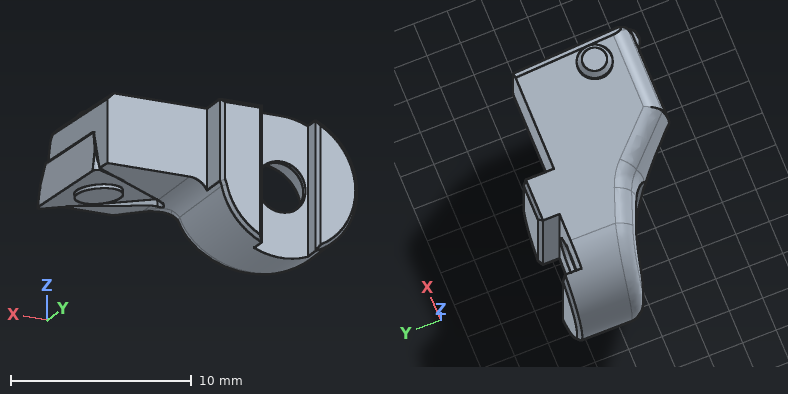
import cadquery as cq
import math

hub_radius = 4.2
hub_bore_radius = 1.5
hub_bore_chamfer = 0.3
counterbore_radius = 2.75
counterbore_floor_y = -1.8

tooth_depth = 1.2
tooth_chamfer = 0.22
notch_width = 3.28

arm_top_z = hub_radius
arm_bottom_z = 0.0
arm_back_y = -1.9
arm_front_y = -9.26
neck_radius = 1.2
rim_fillet = 1.0

hollow_radius = 12.0
end_hollow_radius = 13.5
hub_front_y = -5.42
hub_front_slope = math.radians(20)
flare_slope = math.radians(45)
flare_intercept_y = -4.01
bend_radius = 3.0

end_angle = 3.0
end_x = 10.30
end_chamfer = 0.4
end_corner_radius = 0.3

insert_x = 8.76
insert_y = -6.31
insert_z = 0.02
insert_lean = 5.0
insert_inscribed_radius = 2.095
insert_nose_radius = 0.25
insert_thickness = 2.46
insert_clearance = 11.0
pocket_overcut = 0.6
relief_start = 0.87
relief_reach = 0.8

pin_radius = 1.0
pin_top_length = 4.57
pin_chamfer = 0.3
pin_head_radius = 1.35
pin_head_height = 0.23

blank_end_x = 14.0
blank_depth = 22.0
margin = 10.0
beyond_hub = 1.5 * hub_radius
slab_width = 6 * margin
flat_tolerance = 0.01


def profile_blank():
    """Hub disc and arm in side profile, joined underneath by a round neck."""
    neck_x = math.sqrt((hub_radius + neck_radius) ** 2 - neck_radius ** 2)
    neck_angle = math.atan2(neck_radius, neck_x)
    touch = (hub_radius * math.cos(neck_angle), -hub_radius * math.sin(neck_angle))
    bisector = math.pi / 4 + neck_angle / 2
    neck_mid = (
        neck_x - neck_radius * math.cos(bisector),
        -neck_radius + neck_radius * math.sin(bisector),
    )
    hub_mid_angle = (math.pi / 2 + 2 * math.pi - neck_angle) / 2
    hub_mid = (hub_radius * math.cos(hub_mid_angle), hub_radius * math.sin(hub_mid_angle))
    return (
        cq.Workplane("XZ")
        .moveTo(0, arm_top_z)
        .lineTo(blank_end_x, arm_top_z)
        .lineTo(blank_end_x, arm_bottom_z)
        .lineTo(neck_x, arm_bottom_z)
        .threePointArc(neck_mid, touch)
        .threePointArc(hub_mid, (0, arm_top_z))
        .close()
        .extrude(blank_depth)
    )


def hollow_section(x, y, depth, radius):
    """Closed YZ section at (x, y) whose one side is the hollow arc, reaching to y + depth."""
    sag = radius - math.sqrt(radius ** 2 - beyond_hub ** 2)
    return (
        cq.Workplane("YZ", origin=(x, y, 0))
        .moveTo(sag, -beyond_hub)
        .threePointArc((0, 0), (sag, beyond_hub))
        .lineTo(depth, beyond_hub)
        .lineTo(depth, -beyond_hub)
        .close()
    )


def front_cutter():
    """Space in front of the hub and the flared neck of the arm."""
    bend_x = (flare_intercept_y - hub_front_y) / (math.tan(flare_slope) - math.tan(hub_front_slope))
    bend_y = flare_intercept_y - bend_x * math.tan(flare_slope)
    turn = flare_slope - hub_front_slope
    tangent = bend_radius * math.tan(turn / 2)
    arc_start = (
        bend_x - tangent * math.cos(hub_front_slope),
        bend_y + tangent * math.sin(hub_front_slope),
    )
    arc_end = (
        bend_x + tangent * math.cos(flare_slope),
        bend_y - tangent * math.sin(flare_slope),
    )
    mid_slope = (hub_front_slope + flare_slope) / 2
    mid_offset = bend_radius / math.cos(turn / 2) - bend_radius
    arc_mid = (bend_x - mid_offset * math.sin(mid_slope), bend_y - mid_offset * math.cos(mid_slope))
    start_x = -beyond_hub
    start = (start_x, hub_front_y - start_x * math.tan(hub_front_slope))
    stop_x = blank_end_x + margin
    stop = (stop_x, flare_intercept_y - stop_x * math.tan(flare_slope))
    path = (
        cq.Workplane("XY")
        .moveTo(*start)
        .lineTo(*arc_start)
        .threePointArc(arc_mid, arc_end)
        .lineTo(*stop)
    )
    section = hollow_section(*start, -2 * blank_depth, hollow_radius)
    return section.sweep(path, normal=cq.Vector(1, 0, 0))


def is_rim(edge):
    """True for the edges round the front surface, false for its joints and the back edges."""
    box = edge.BoundingBox()
    return box.xlen > flat_tolerance and box.ymax < -flat_tolerance


def flared_body():
    """Hub and flared arm with the whole front rim rounded."""
    body = profile_blank().cut(front_cutter())
    rim = [edge for edge in body.edges().vals() if is_rim(edge)]
    return body.newObject(rim).fillet(rim_fillet)


def end_envelope():
    """Block bounding the arm: hollow front, skewed free end and broken top edges."""
    section = hollow_section(-margin, arm_front_y, margin, end_hollow_radius)
    block = section.extrude(2 * margin + end_x)
    above = cq.Workplane("XY", origin=(0, 0, arm_top_z)).rect(slab_width, slab_width).extrude(margin)
    block = block.cut(above)
    block = block.faces(">Z").edges("<Y").fillet(rim_fillet)
    end_face = (
        cq.Workplane("YZ")
        .rect(slab_width, slab_width)
        .extrude(margin)
        .rotate((0, 0, 0), (0, 0, 1), end_angle)
        .translate((end_x, arm_back_y, 0))
    )
    block = block.cut(end_face)
    front_corner = cq.selectors.NearestToPointSelector((end_x, arm_front_y, arm_bottom_z))
    block = block.edges(front_corner).fillet(end_corner_radius)
    bevel = (
        cq.Workplane("XZ")
        .moveTo(0, arm_top_z - end_chamfer)
        .lineTo(-end_chamfer, arm_top_z)
        .lineTo(0, arm_top_z)
        .close()
        .extrude(2 * margin, both=True)
        .rotate((0, 0, 0), (0, 0, 1), end_angle)
        .translate((end_x, arm_back_y, 0))
    )
    return block.cut(bevel)


def notch():
    """Slot across the back of the hub that leaves a tooth on either side."""
    return cq.Workplane("XY").box(notch_width, 2 * tooth_depth, 2 * beyond_hub)


def arm_back_cut():
    """Space behind the arm, beside the hub."""
    cutter = cq.Workplane("XY").box(2 * margin, -2 * arm_back_y, 2 * beyond_hub)
    return cutter.translate((hub_radius + margin, 0, 0))


def hub_hole():
    """Through bore, with a chamfer at the floor of the counterbore."""
    bore = cq.Workplane("XZ").circle(hub_bore_radius).extrude(blank_depth)
    floor = cq.Workplane("XZ", origin=(0, counterbore_floor_y, 0))
    counterbore = floor.circle(counterbore_radius).extrude(blank_depth)
    chamfer = cq.Workplane("XY").add(
        cq.Solid.makeCone(
            hub_bore_radius + hub_bore_chamfer,
            hub_bore_radius,
            hub_bore_chamfer,
            pnt=cq.Vector(0, counterbore_floor_y, 0),
            dir=cq.Vector(0, 1, 0),
        )
    )
    return bore.union(counterbore).union(chamfer)


def lean(shape):
    """Move a shape built round the origin to the insert axis."""
    return shape.rotate((0, 0, 0), (0, 1, 0), insert_lean).translate((insert_x, insert_y, insert_z))


def tapered_triangle(bottom, top):
    """Rounded triangle between two heights; the stated size is at height 0, narrower above."""
    spread = math.tan(math.radians(insert_clearance))
    corner_distance = 2 * (insert_inscribed_radius - insert_nose_radius)
    angles = [math.radians(end_angle + 60 + 120 * k) for k in range(3)]
    corners = [(corner_distance * math.cos(a), corner_distance * math.sin(a)) for a in angles]
    bottom_nose_radius = insert_nose_radius - bottom * spread
    return (
        cq.Workplane("XY", origin=(0, 0, bottom))
        .polyline(corners)
        .close()
        .offset2D(bottom_nose_radius)
        .extrude(top - bottom, taper=insert_clearance)
    )


def insert_blank(bottom):
    """Solid insert from the given height, measured from its cutting face, to its seat."""
    return tapered_triangle(bottom, insert_thickness)


def pocket():
    """Insert seat, open underneath and cleared forwards where the cutting corner stands proud."""
    seat = insert_blank(-pocket_overcut)
    corner_side = cq.Workplane("XY").box(margin, margin, margin).translate((relief_start + margin / 2, 0, 0))
    relief = seat.translate((0, -relief_reach, 0)).intersect(corner_side)
    return lean(seat.union(relief))


def make_pin():
    """Clamp pin with its head under the cutting face and a chamfered tip above the arm."""
    shank = cq.Workplane("XY").circle(pin_radius).extrude(pin_top_length).faces(">Z").chamfer(pin_chamfer)
    head = cq.Workplane("XY").circle(pin_head_radius).extrude(-pin_head_height)
    return lean(shank.union(head))


def pin_hole():
    """Close-fitting hole for the shank through insert and arm."""
    return lean(cq.Workplane("XY").circle(pin_radius).extrude(2 * pin_top_length))


def make_insert():
    """Triangular cutting insert with its pin hole."""
    return lean(insert_blank(0)).cut(pin_hole())


def make_holder():
    """Toothed hub with the arm that carries the insert."""
    holder = flared_body().intersect(end_envelope()).cut(arm_back_cut())
    holder = holder.cut(notch()).faces(">Y").edges().chamfer(tooth_chamfer)
    return holder.cut(hub_hole()).cut(pocket()).cut(pin_hole())


holder = make_holder()
insert = make_insert()
pin = make_pin()
result = cq.Compound.makeCompound([holder.val(), insert.val(), pin.val()])